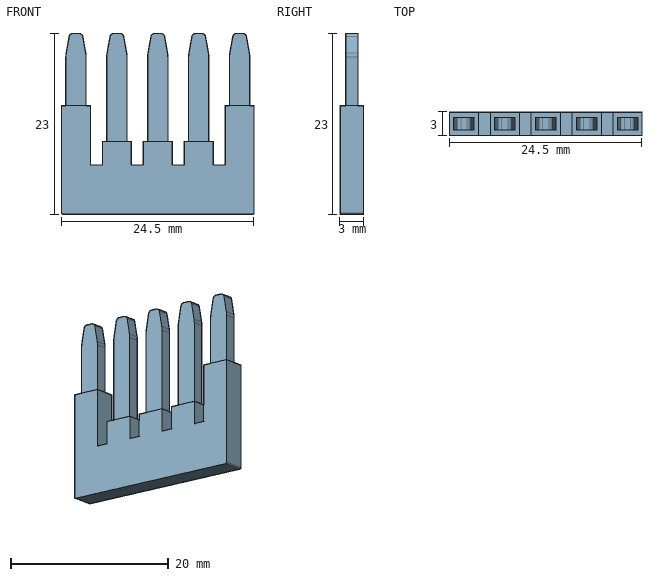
import cadquery as cq

length = 24.5
depth = 3.0
total_height = 23.0
floor_height = 6.3
inner_block_height = 9.25
outer_block_height = 13.82
block_width = 3.7
corner_radius = 0.2

pin_count = 5
pin_width = 2.6
pin_depth = 1.6
taper_length = 2.75
tip_width = 1.62
tip_radius = 0.5
shoulder_radius = 2.7

pitch = (length - block_width) / (pin_count - 1)
pin_positions = [(i - (pin_count - 1) / 2) * pitch for i in range(pin_count)]


def block(x, height):
    """Upright block around one pin, standing on the bottom plane."""
    return (
        cq.Workplane("XY")
        .box(block_width, depth, height, centered=(True, True, False))
        .translate((x, 0, 0))
    )


def pin(x, base):
    """Flat pin with a tapered, rounded tip."""
    half_width = pin_width / 2
    half_tip = tip_width / 2
    taper_start = total_height - taper_length
    blank = (
        cq.Workplane("XZ")
        .polyline([
            (-half_width, base),
            (half_width, base),
            (half_width, taper_start),
            (half_tip, total_height),
            (-half_tip, total_height),
            (-half_width, taper_start),
        ])
        .close()
        .extrude(pin_depth / 2, both=True)
    )
    rounded_tip = blank.faces(">Z").edges("|Y").fillet(tip_radius)
    shoulder_zone = cq.selectors.BoxSelector(
        (-pin_width, -pin_depth, taper_start - tip_radius),
        (pin_width, pin_depth, taper_start + tip_radius),
    )
    shoulder_edges = rounded_tip.edges("|Y").edges(shoulder_zone)
    return shoulder_edges.fillet(shoulder_radius).translate((x, 0, 0))


result = (
    cq.Workplane("XY")
    .box(length, depth, floor_height, centered=(True, True, False))
)

for index, x in enumerate(pin_positions):
    is_end = index in (0, pin_count - 1)
    block_height = outer_block_height if is_end else inner_block_height
    result = result.union(block(x, block_height)).union(pin(x, block_height))

result = result.clean().faces("<Z").edges("|Y").fillet(corner_radius)